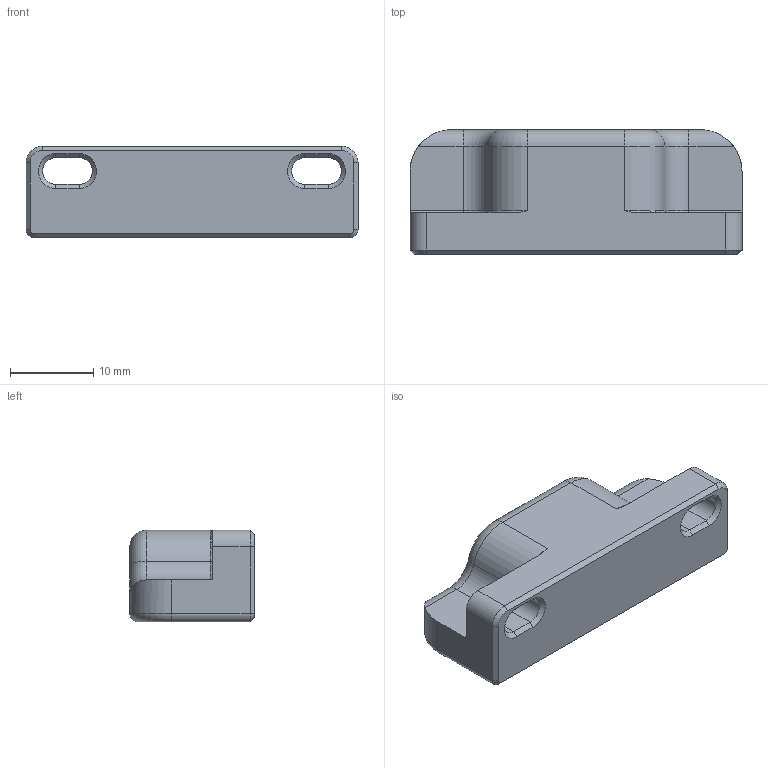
import cadquery as cq
import math

LENGTH = 40.0
DEPTH = 15.0
HEIGHT = 11.05
BACK_CORNER_RADIUS = 5.0
BOTTOM_EDGE_RADIUS = 1.0
FRONT_CHAMFER = 0.5

PLATE_THICKNESS = 5.0
PLATE_CORNER_RADIUS = 2.0

STEP_HEIGHT = 6.0
SHOULDER_HEIGHT = HEIGHT - STEP_HEIGHT
HUMP_TOP_WIDTH = 11.7
FLANK_FOOT_RADIUS = 3.0
FLANK_CROWN_RADIUS = 5.0
BACK_TOP_RADIUS = 2.0
INNER_CORNER_RADIUS = 0.25

SLOT_SPACING = 30.0
SLOT_LENGTH = 6.0
SLOT_WIDTH = 3.2
SLOT_DROP = 3.0

SELECTION_MARGIN = 0.01


def make_envelope():
    """Block with rounded back corners and a rounded bottom edge on the sides and back."""
    block = cq.Workplane("XY").box(LENGTH, DEPTH, HEIGHT, centered=(True, False, False))
    block = block.edges("|Z and >Y").fillet(BACK_CORNER_RADIUS)
    return block.faces("<Z").edges("not <Y").fillet(BOTTOM_EDGE_RADIUS)


def make_rear_body():
    """Hump and shoulders, running the full depth, with the upper back edge rounded."""
    radius_sum = FLANK_FOOT_RADIUS + FLANK_CROWN_RADIUS
    turn = math.acos(1 - STEP_HEIGHT / radius_sum)
    crown_x = HUMP_TOP_WIDTH / 2
    foot_x = crown_x + radius_sum * math.sin(turn)
    crown_centre_z = HEIGHT - FLANK_CROWN_RADIUS
    foot_centre_z = SHOULDER_HEIGHT + FLANK_FOOT_RADIUS

    def crown_point(angle):
        x = crown_x + FLANK_CROWN_RADIUS * math.sin(angle)
        return x, crown_centre_z + FLANK_CROWN_RADIUS * math.cos(angle)

    def foot_point(angle):
        x = foot_x - FLANK_FOOT_RADIUS * math.sin(angle)
        return x, foot_centre_z - FLANK_FOOT_RADIUS * math.cos(angle)

    def mirrored(point):
        return -point[0], point[1]

    crown_middle = crown_point(turn / 2)
    inflection = crown_point(turn)
    foot_middle = foot_point(turn / 2)
    foot_end = foot_point(0)

    body = (
        cq.Workplane("XZ")
        .moveTo(-LENGTH / 2, 0)
        .lineTo(LENGTH / 2, 0)
        .lineTo(LENGTH / 2, SHOULDER_HEIGHT)
        .lineTo(*foot_end)
        .threePointArc(foot_middle, inflection)
        .threePointArc(crown_middle, (crown_x, HEIGHT))
        .lineTo(-crown_x, HEIGHT)
        .threePointArc(mirrored(crown_middle), mirrored(inflection))
        .threePointArc(mirrored(foot_middle), mirrored(foot_end))
        .lineTo(-LENGTH / 2, SHOULDER_HEIGHT)
        .close()
        .extrude(-DEPTH)
    )
    upper_back_edges = cq.selectors.BoxSelector(
        (-LENGTH, DEPTH - SELECTION_MARGIN, SHOULDER_HEIGHT - SELECTION_MARGIN),
        (LENGTH, DEPTH + SELECTION_MARGIN, HEIGHT + SELECTION_MARGIN),
    )
    return body.edges(upper_back_edges).fillet(BACK_TOP_RADIUS)


def make_clearance():
    """Empty space over the rear body, its lower front edge rounded to leave an inner fillet."""
    space = (
        cq.Workplane("XY")
        .box(LENGTH, DEPTH - PLATE_THICKNESS, 2 * HEIGHT, centered=(True, False, False))
        .translate((0, PLATE_THICKNESS, 0))
        .cut(make_rear_body())
    )
    lower_front_edges = cq.selectors.BoxSelector(
        (-LENGTH, PLATE_THICKNESS - SELECTION_MARGIN, SHOULDER_HEIGHT - SELECTION_MARGIN),
        (LENGTH, PLATE_THICKNESS + SELECTION_MARGIN, HEIGHT + SELECTION_MARGIN),
    )
    return space.edges(lower_front_edges).fillet(INNER_CORNER_RADIUS)


def round_plate_corners(part):
    """Round the upper side corners of the plate."""
    return part.edges("|Y").edges(">Z").edges("<X or >X").fillet(PLATE_CORNER_RADIUS)


def cut_slots(part):
    """Cut the two straight slots from front to back."""
    slot_offset = SLOT_SPACING / 2
    slots = (
        cq.Workplane("XZ", origin=(0, 0, HEIGHT - SLOT_DROP))
        .pushPoints([(-slot_offset, 0), (slot_offset, 0)])
        .slot2D(SLOT_LENGTH, SLOT_WIDTH)
        .extrude(-DEPTH)
    )
    return part.cut(slots)


def chamfer_front_face(part):
    """Chamfer the front face along its outline and around both slot mouths."""
    return part.faces("<Y").chamfer(FRONT_CHAMFER)


result = make_envelope().cut(make_clearance())
result = round_plate_corners(result)
result = cut_slots(result)
result = chamfer_front_face(result)